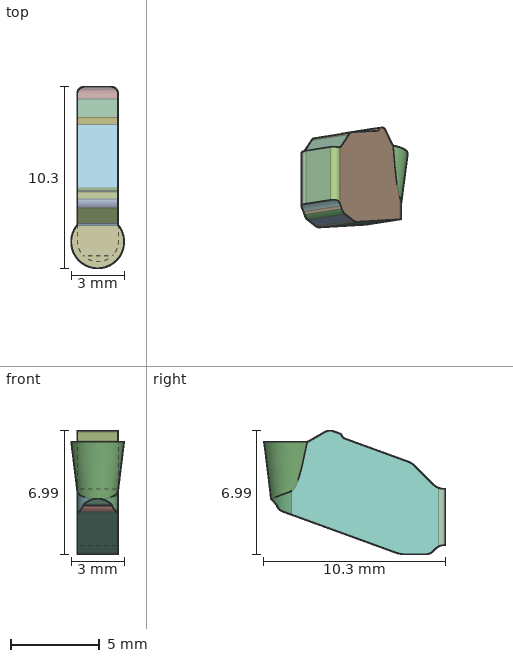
import cadquery as cq
import math

POST_TOP_RADIUS = 1.5
POST_HEIGHT = 3.23
POST_TAPER = 7.0
POST_BOTTOM_RADIUS = POST_TOP_RADIUS - POST_HEIGHT * math.tan(math.radians(POST_TAPER))

PLATE_WIDTH = 2.314
NOSE_RADIUS = PLATE_WIDTH / 2
NOSE_CENTER_Y = 0.055
NOSE_TIP_Y = NOSE_CENTER_Y - NOSE_RADIUS
REAR_Y = 8.75
REAR_CORNER_RADIUS = 0.4

FOOT_Z = -6.37
TAIL_TOP_Z = -2.66
TAIL_BOTTOM_Z = -5.85

CLAMP_SLOPE = math.tan(math.radians(20))
TOP_EDGE_Z_AT_AXIS = 1.29
BOTTOM_EDGE_Z_AT_AXIS = -4.11

BUMP_SLOPE = math.tan(math.radians(30))
BUMP_START_Y = 1.0
BUMP_EDGE_Z_AT_AXIS = 1.47
BUMP_STEP_TOP_Y = 2.85
BUMP_STEP_BOTTOM_Y = 2.97

TAIL_TOP_CORNER_Y = 8.31
TAIL_BOTTOM_CORNER_Y = 8.39

RELIEF_CORNER_Y = -0.79
RELIEF_CORNER_Z = -3.55
HEEL_Y = -0.69

BUMP_START_RADIUS = 0.25
BUMP_TOP_RADIUS = 0.6
BUMP_STEP_TOP_RADIUS = 0.1
BUMP_STEP_BOTTOM_RADIUS = 0.25
SHOULDER_RADIUS = 1.1
TAIL_TOP_RADIUS = 0.8
TAIL_BOTTOM_RADIUS = 0.7
FOOT_REAR_RADIUS = 0.6
FOOT_FRONT_RADIUS = 1.5
HEEL_RADIUS = 0.6
RELIEF_RADIUS = 0.3
SHARP = 0.0


def top_edge_z(y):
    return TOP_EDGE_Z_AT_AXIS - CLAMP_SLOPE * y


def bottom_edge_z(y):
    return BOTTOM_EDGE_Z_AT_AXIS - CLAMP_SLOPE * y


def bump_edge_z(y):
    return BUMP_EDGE_Z_AT_AXIS - CLAMP_SLOPE * y


def rounded_outline(plane, corners):
    """Closed outline from (u, v, radius) corners, each rounded by a tangent arc."""
    outline = cq.Workplane(plane)
    for index, (u, v, radius) in enumerate(corners):
        corner = cq.Vector(u, v)
        before = cq.Vector(*corners[index - 1][:2])
        after = cq.Vector(*corners[(index + 1) % len(corners)][:2])
        to_before = (before - corner).normalized()
        to_after = (after - corner).normalized()
        half_angle = to_before.getAngle(to_after) / 2
        setback = radius / math.tan(half_angle)
        arc_start = corner + to_before * setback
        if index == 0:
            outline = outline.moveTo(arc_start.x, arc_start.y)
        else:
            outline = outline.lineTo(arc_start.x, arc_start.y)
        if radius > 0:
            bisector = (to_before + to_after).normalized()
            arc_middle = corner + bisector * (radius / math.sin(half_angle) - radius)
            arc_end = corner + to_after * setback
            outline = outline.threePointArc((arc_middle.x, arc_middle.y), (arc_end.x, arc_end.y))
    return outline.close()


def plate_side():
    """Plate with its full side outline and square vertical edges."""
    bump_peak_y = (BUMP_EDGE_Z_AT_AXIS + BUMP_SLOPE * BUMP_START_Y) / (BUMP_SLOPE + CLAMP_SLOPE)
    shoulder_y = (TAIL_TOP_Z + TAIL_TOP_CORNER_Y - TOP_EDGE_Z_AT_AXIS) / (1 - CLAMP_SLOPE)
    foot_rear_y = TAIL_BOTTOM_CORNER_Y - (TAIL_BOTTOM_Z - FOOT_Z)
    foot_front_y = (BOTTOM_EDGE_Z_AT_AXIS - FOOT_Z) / CLAMP_SLOPE
    nose_top_z = -POST_HEIGHT + CLAMP_SLOPE * (NOSE_CENTER_Y - NOSE_TIP_Y)
    corners = [
        (NOSE_CENTER_Y, 0, SHARP),
        (BUMP_START_Y, 0, BUMP_START_RADIUS),
        (bump_peak_y, bump_edge_z(bump_peak_y), BUMP_TOP_RADIUS),
        (BUMP_STEP_TOP_Y, bump_edge_z(BUMP_STEP_TOP_Y), BUMP_STEP_TOP_RADIUS),
        (BUMP_STEP_BOTTOM_Y, top_edge_z(BUMP_STEP_BOTTOM_Y), BUMP_STEP_BOTTOM_RADIUS),
        (shoulder_y, top_edge_z(shoulder_y), SHOULDER_RADIUS),
        (TAIL_TOP_CORNER_Y, TAIL_TOP_Z, TAIL_TOP_RADIUS),
        (REAR_Y, TAIL_TOP_Z, SHARP),
        (REAR_Y, TAIL_BOTTOM_Z, SHARP),
        (TAIL_BOTTOM_CORNER_Y, TAIL_BOTTOM_Z, TAIL_BOTTOM_RADIUS),
        (foot_rear_y, FOOT_Z, FOOT_REAR_RADIUS),
        (foot_front_y, FOOT_Z, FOOT_FRONT_RADIUS),
        (HEEL_Y, bottom_edge_z(HEEL_Y), HEEL_RADIUS),
        (RELIEF_CORNER_Y, RELIEF_CORNER_Z, RELIEF_RADIUS),
        (NOSE_TIP_Y, -POST_HEIGHT, SHARP),
        (NOSE_CENTER_Y, nose_top_z, SHARP),
    ]
    return rounded_outline("YZ", corners).extrude(NOSE_RADIUS, both=True)


def plate_plan():
    """Plan shape of the plate: full round nose and rounded rear corners."""
    half = NOSE_RADIUS
    plan = (
        cq.Workplane("XY", origin=(0, 0, FOOT_Z))
        .moveTo(half, NOSE_CENTER_Y)
        .lineTo(half, REAR_Y - REAR_CORNER_RADIUS)
        .radiusArc((half - REAR_CORNER_RADIUS, REAR_Y), -REAR_CORNER_RADIUS)
        .lineTo(REAR_CORNER_RADIUS - half, REAR_Y)
        .radiusArc((-half, REAR_Y - REAR_CORNER_RADIUS), -REAR_CORNER_RADIUS)
        .lineTo(-half, NOSE_CENTER_Y)
        .threePointArc((0, NOSE_TIP_Y), (half, NOSE_CENTER_Y))
        .close()
    )
    return plan.extrude(BUMP_EDGE_Z_AT_AXIS - FOOT_Z)


def post():
    """Tapered round post, widest at its flat top."""
    base_center = cq.Vector(0, 0, -POST_HEIGHT)
    cone = cq.Solid.makeCone(POST_BOTTOM_RADIUS, POST_TOP_RADIUS, POST_HEIGHT, base_center)
    return cq.Workplane(cone)


result = plate_side().intersect(plate_plan()).union(post())